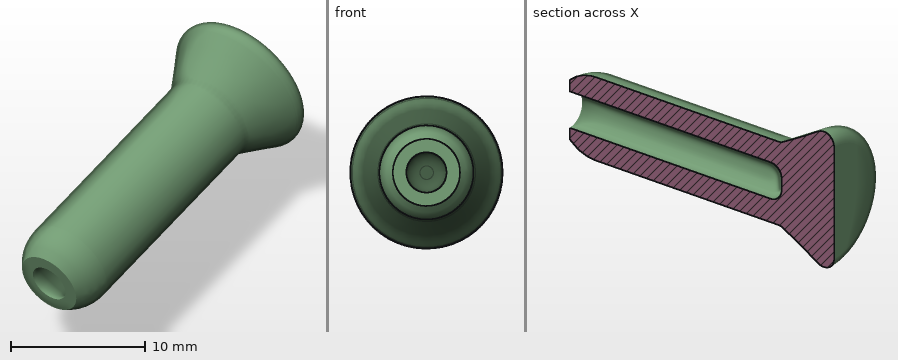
import cadquery as cq
import math

length = 25.0
head_radius = 5.68
shaft_radius = 3.5
rim_round = 1.0
neck_fillet = 1.0
cone_angle = math.radians(30)
nose_length = 2.5
tip_radius = 2.5
bore_radius = 1.5
bore_depth = 20.0
bore_floor_fillet = 1.0

tip_y = -length / 2
head_y = length / 2


def arc_point(center, radius, angle):
    """Point (radial, axial) on a circle, with the angle from the radial direction."""
    return (center[0] + radius * math.cos(angle), center[1] + radius * math.sin(angle))


def turned_body():
    nose_drop = shaft_radius - tip_radius
    nose_radius = (nose_length**2 + nose_drop**2) / (2 * nose_drop)
    nose_center = (shaft_radius - nose_radius, tip_y + nose_length)
    nose_angle = -math.asin(nose_length / nose_radius)
    nose_middle = arc_point(nose_center, nose_radius, nose_angle / 2)

    rim_center = (head_radius - rim_round, head_y - rim_round)
    rim_start = arc_point(rim_center, rim_round, -cone_angle)
    rim_middle = (head_radius, rim_center[1])
    rim_end = (rim_center[0], head_y)

    neck_end_radius = shaft_radius + neck_fillet * (1 - math.cos(cone_angle))
    cone_length = (rim_start[0] - neck_end_radius) / math.tan(cone_angle)
    neck_end = (neck_end_radius, rim_start[1] - cone_length)
    neck_center = (shaft_radius + neck_fillet, neck_end[1] - neck_fillet * math.sin(cone_angle))
    neck_start = (shaft_radius, neck_center[1])
    neck_middle = arc_point(neck_center, neck_fillet, math.pi - cone_angle / 2)

    return (
        cq.Workplane("XY")
        .moveTo(0, tip_y)
        .lineTo(tip_radius, tip_y)
        .threePointArc(nose_middle, (shaft_radius, nose_center[1]))
        .lineTo(*neck_start)
        .threePointArc(neck_middle, neck_end)
        .lineTo(*rim_start)
        .threePointArc(rim_middle, rim_end)
        .lineTo(0, head_y)
        .close()
        .revolve(360, (0, 0, 0), (0, 1, 0))
    )


def blind_bore():
    """Bore from the nose, with a rounded edge around its flat floor."""
    return (
        cq.Workplane("XZ", origin=(0, tip_y, 0))
        .circle(bore_radius)
        .extrude(-bore_depth)
        .faces(">Y")
        .edges()
        .fillet(bore_floor_fillet)
    )


result = turned_body().cut(blind_bore())